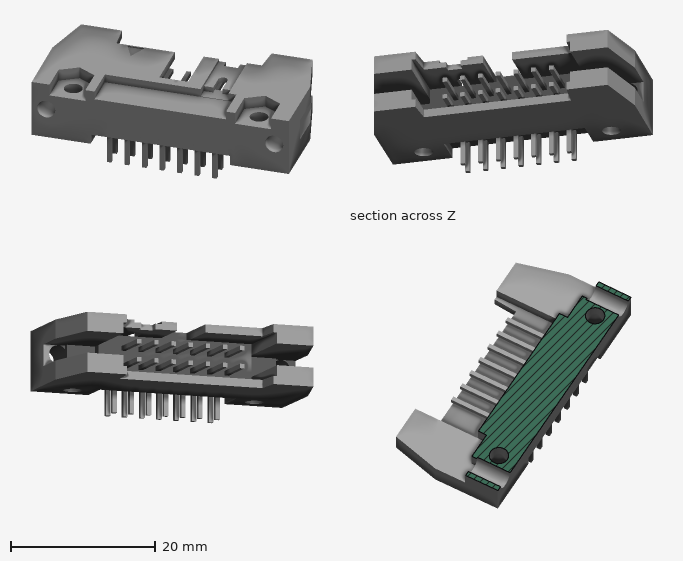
import cadquery as cq
import math


length = 37.4
rear_length = 37.3
depth = 17.3
height = 8.45
shoulder_y = 9.95
arm_tip_outer_x = 16.75
arm_tip_inner_x = 10.85
mouth_y = 13.73
mouth_half_width = 10.55

wall = 1.15
cavity_half_width = 11.37
cavity_floor_y = 7.33
side_slot_z = 2.7
side_slot_height = height - 2 * side_slot_z
side_slot_deep_y = 5.2
side_slot_shallow_y = 6.02
side_slot_step_x = 15.5

columns = 7
rows = 2
pitch = 2.55
pin_width = 0.65
contact_tip_y = 13.55
tail_rear_y = 1.05
tail_length = 2.95
pin_root = 0.65

tail_recess_width = 20.2
tail_recess_depth = 4.65
tail_recess_height = 1.45

hole_diameter = 2.6
mount_x = 13.45
mount_y = 2.8
nut_width = 5.2
nut_pocket_depth = 1.72
rear_hole_x = 16.53
rear_hole_z = 4.45

rear_step_width = 19.07
rear_step_y = 4.95
rear_step_depth = 1.25

key_width = 4.2
key_end_y = 6.4

latch_x = 6.35
latch_width = 4.05
latch_recess_depth = 0.37
latch_rear_y = 6.5
latch_slot_width = 1.35
latch_slot_end_y = 9.57
latch_notch_width = 2.05
latch_notch_y = 12.68

mark_width = 2.5
mark_base_y = 13.5
mark_tip_y = 10.92
mark_depth = 0.2

inner_top = height - wall
pin_xs = [pitch * (i - (columns - 1) / 2) for i in range(columns)]


def block(x_range, y_range, z_range):
    """Box between the given limits on each axis."""
    (x0, x1), (y0, y1), (z0, z1) = x_range, y_range, z_range
    return cq.Workplane("XY").box(x1 - x0, y1 - y0, z1 - z0, centered=False).translate((x0, y0, z0))


def centred(x, width):
    """Limits of a span of the given width about x."""
    return (x - width / 2, x + width / 2)


def housing():
    right_side = [
        (rear_length / 2, 0),
        (length / 2, shoulder_y),
        (arm_tip_outer_x, depth),
        (arm_tip_inner_x, depth),
        (mouth_half_width, mouth_y),
    ]
    left_side = [(-x, y) for x, y in reversed(right_side)]
    return cq.Workplane("XY").polyline(right_side + left_side).close().extrude(height)


def plug_space():
    """Plug cavity with the stepped slots through both flanks."""
    slot_z = (side_slot_z, side_slot_z + side_slot_height)
    space = block(centred(0, 2 * cavity_half_width), (cavity_floor_y, depth), (wall, inner_top))
    for side in (-1, 1):
        shallow_x = sorted((side * cavity_half_width, side * length / 2))
        deep_x = sorted((side * side_slot_step_x, side * length / 2))
        space = space.union(block(shallow_x, (side_slot_shallow_y, depth), slot_z))
        space = space.union(block(deep_x, (side_slot_deep_y, depth), slot_z))
    return space


def mounting(side):
    """Vertical hole with its nut pocket, and the rear hole that opens into the side slot."""
    x = side * mount_x
    pocket_z = height - nut_pocket_depth
    hole = cq.Workplane("XY").center(x, mount_y).circle(hole_diameter / 2).extrude(height)
    hexagon = (
        cq.Workplane("XY", origin=(x, mount_y, pocket_z))
        .transformed(rotate=(0, 0, 90))
        .polygon(6, nut_width / math.cos(math.pi / 6))
        .extrude(nut_pocket_depth)
    )
    opening = block(centred(x, nut_width), (0, mount_y), (pocket_z, height))
    rear_hole = (
        cq.Workplane("XZ")
        .center(side * rear_hole_x, rear_hole_z)
        .circle(hole_diameter / 2)
        .extrude(-side_slot_deep_y)
    )
    return hole.union(hexagon).union(opening).union(rear_hole)


def key_slot():
    return block(centred(0, key_width), (key_end_y, mouth_y), (inner_top, height))


def latch():
    """Material removed to leave the latch tongue: a shallow channel, a rear gap, a slot and a front notch."""
    through = (inner_top, height)
    channel_z = (height - latch_recess_depth, height)
    round_y = latch_slot_end_y - latch_slot_width / 2
    channel = block(centred(latch_x, latch_width), (rear_step_y, mouth_y), channel_z)
    gap = block(centred(latch_x, latch_width), (rear_step_y, latch_rear_y), through)
    slot = block(centred(latch_x, latch_slot_width), (latch_rear_y, round_y), through)
    slot_end = (
        cq.Workplane("XY", origin=(latch_x, round_y, inner_top)).circle(latch_slot_width / 2).extrude(wall)
    )
    notch = block(centred(latch_x, latch_notch_width), (latch_notch_y, mouth_y), through)
    return channel.union(gap).union(slot).union(slot_end).union(notch)


def pin_one_mark():
    x0, x1 = centred(pin_xs[0], mark_width)
    outline = [(x0, mark_base_y), (x1, mark_base_y), (pin_xs[0], mark_tip_y)]
    return (
        cq.Workplane("XY", origin=(0, 0, height - mark_depth)).polyline(outline).close().extrude(mark_depth)
    )


def pin(x, row):
    """Contact in the cavity and solder tail below, for one position."""
    contact_z = height / 2 + pitch * (row - (rows - 1) / 2)
    tail_y = tail_rear_y + pitch * row
    contact = block(
        centred(x, pin_width), (cavity_floor_y - pin_root, contact_tip_y), centred(contact_z, pin_width)
    )
    tail = block(
        centred(x, pin_width), centred(tail_y, pin_width), (-tail_length, tail_recess_height + pin_root)
    )
    return contact, tail


result = housing().cut(plug_space())
result = result.cut(block(centred(0, tail_recess_width), (0, tail_recess_depth), (0, tail_recess_height)))
result = result.cut(
    block(centred(0, rear_step_width), (0, rear_step_y), (height - rear_step_depth, height))
)
for mount_side in (-1, 1):
    result = result.cut(mounting(mount_side))
result = result.cut(key_slot()).cut(latch()).cut(pin_one_mark())

for pin_x in pin_xs:
    for pin_row in range(rows):
        for piece in pin(pin_x, pin_row):
            result = result.union(piece)